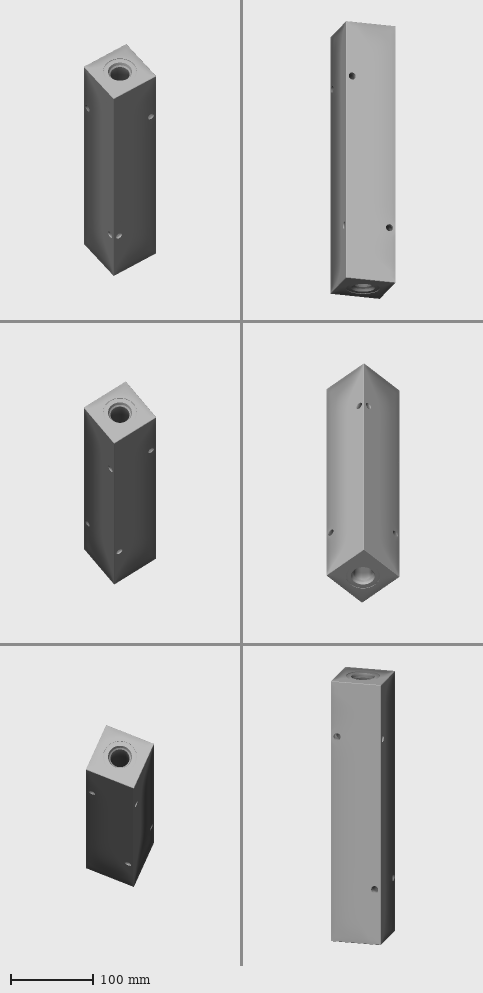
import cadquery as cq

length = 330.2
width = 63.5
edge_chamfer = 0.5

bore_diameter = 23.0
spotface_diameter = 41.0
spotface_depth = 0.5
mouth_diameter = 29.0
throat_diameter = 26.5
throat_depth = 4.0

cross_diameter = 9.0
cross_offset = 23.8
cross_height = 95.0


def bar():
    return cq.Workplane("XY").box(width, width, length).edges().chamfer(edge_chamfer)


def port():
    """Tool for the top end: spotface, steep tapered mouth and a 45 degree lead into the bore."""
    top = length / 2
    seat = top - spotface_depth
    throat = top - throat_depth
    lead_end = throat - (throat_diameter - bore_diameter) / 2
    half_section = [
        (0, top),
        (spotface_diameter / 2, top),
        (spotface_diameter / 2, seat),
        (mouth_diameter / 2, seat),
        (throat_diameter / 2, throat),
        (bore_diameter / 2, lead_end),
        (0, lead_end),
    ]
    return cq.Workplane("XZ").polyline(half_section).close().revolve(360, (0, 0), (0, 1))


def cross_holes(plane, high_side):
    """Two holes through the bar; high_side is the sign of the upper hole's sideways offset."""
    centers = [
        (high_side * cross_offset, cross_height),
        (-high_side * cross_offset, -cross_height),
    ]
    return cq.Workplane(plane).pushPoints(centers).circle(cross_diameter / 2).extrude(width, both=True)


bore = cq.Workplane("XY").circle(bore_diameter / 2).extrude(length, both=True)
top_port = port()
bottom_port = top_port.mirror("XY")

result = (
    bar()
    .cut(bore)
    .cut(top_port)
    .cut(bottom_port)
    .cut(cross_holes("XZ", -1))
    .cut(cross_holes("YZ", 1))
)